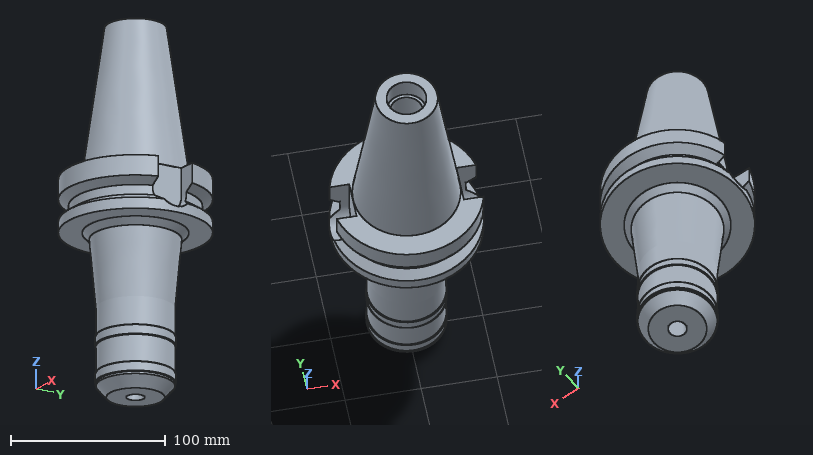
import cadquery as cq

TAPER_LENGTH = 101.7
TAPER_RATIO = 7 / 24
GAUGE_RADIUS = 35.0
TAPER_TIP_RADIUS = GAUGE_RADIUS - TAPER_LENGTH * TAPER_RATIO / 2

FLANGE_RADIUS = 49.98
FLANGE_TOP = -1.5
UPPER_RIM_BOTTOM = -15.4
GROOVE_RADIUS = 43.3
GROOVE_TOP = -19.6
GROOVE_BOTTOM = -26.2
LOWER_RIM_TOP = -30.5
FLANGE_BOTTOM = -38.0

COLLAR_RADIUS = 34.5
NECK_RADIUS = 30.0
NECK_TOP = -42.5
NOSE_RADIUS = 25.7
NECK_BOTTOM = -89.6
NOSE_CONE_TOP = -142.5
NOSE_BOTTOM = TAPER_LENGTH - 251.8
NOSE_TIP_RADIUS = 19.0

BAND_RADIUS = 26.2
BAND_HEIGHT = 7.0
BAND_BEVEL = BAND_RADIUS - NOSE_RADIUS
BAND_TOPS = (-108.8, -134.0)

SLOT_WIDTH = 25.7
SLOT_FLOOR = 35.3
SLOT_BOTTOM = -34.0

MOUTH_RADIUS = 12.8
MOUTH_DEPTH = 13.5
THREAD_RADIUS = 10.5
THREAD_DEPTH = 45.3
COOLANT_RADIUS = 6.0


def make_body():
    """Revolve the taper, flange and nose about the Z axis."""
    profile = (
        cq.Workplane("XZ")
        .moveTo(0, TAPER_LENGTH)
        .lineTo(TAPER_TIP_RADIUS, TAPER_LENGTH)
        .lineTo(GAUGE_RADIUS, 0)
        .lineTo(GAUGE_RADIUS, FLANGE_TOP)
        .lineTo(FLANGE_RADIUS, FLANGE_TOP)
        .lineTo(FLANGE_RADIUS, UPPER_RIM_BOTTOM)
        .lineTo(GROOVE_RADIUS, GROOVE_TOP)
        .lineTo(GROOVE_RADIUS, GROOVE_BOTTOM)
        .lineTo(FLANGE_RADIUS, LOWER_RIM_TOP)
        .lineTo(FLANGE_RADIUS, FLANGE_BOTTOM)
        .lineTo(COLLAR_RADIUS, FLANGE_BOTTOM)
        .lineTo(NECK_RADIUS, NECK_TOP)
        .lineTo(NOSE_RADIUS, NECK_BOTTOM)
        .lineTo(NOSE_RADIUS, NOSE_CONE_TOP)
        .lineTo(NOSE_TIP_RADIUS, NOSE_BOTTOM)
        .lineTo(0, NOSE_BOTTOM)
        .close()
    )
    return profile.revolve(360, (0, 0, 0), (0, 1, 0))


def make_band(top):
    """Raised band around the nose with bevelled edges."""
    band = cq.Workplane("XY").workplane(offset=top - BAND_HEIGHT).circle(BAND_RADIUS).extrude(BAND_HEIGHT)
    return band.edges().chamfer(BAND_BEVEL)


def make_slot(side):
    """Round-ended drive slot, open upward, on the side given by the sign of X."""
    radius = SLOT_WIDTH / 2
    arc_centre = SLOT_BOTTOM + radius
    slot = (
        cq.Workplane("YZ", origin=(side * SLOT_FLOOR, 0, 0))
        .moveTo(-radius, 0)
        .lineTo(-radius, arc_centre)
        .threePointArc((0, SLOT_BOTTOM), (radius, arc_centre))
        .lineTo(radius, 0)
        .close()
    )
    return slot.extrude(side * FLANGE_RADIUS)


def make_bore(radius, depth):
    """Round bore cut downward from the small end of the taper."""
    return cq.Workplane("XY").workplane(offset=TAPER_LENGTH).circle(radius).extrude(-depth)


result = make_body()
for band_top in BAND_TOPS:
    result = result.union(make_band(band_top))
for slot_side in (-1, 1):
    result = result.cut(make_slot(slot_side))
result = result.cut(make_bore(MOUTH_RADIUS, MOUTH_DEPTH))
result = result.cut(make_bore(THREAD_RADIUS, THREAD_DEPTH))
result = result.cut(make_bore(COOLANT_RADIUS, TAPER_LENGTH - NOSE_BOTTOM))